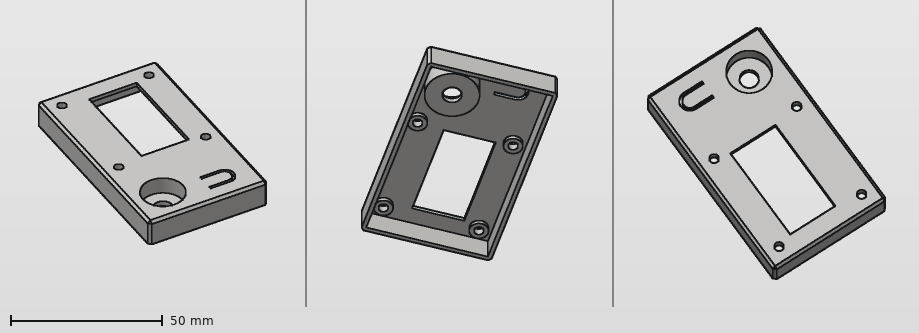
import cadquery as cq

length = 75.0
width = 45.0
height = 9.5
wall = 1.5
edge_chamfer = 1.0
inner_top = height - wall

window_length = 35.0
window_width = 18.0
window_center = (-12.5, 2.0)

screw_diameter = 3.2
screw_spacing_x = 38.0
screw_spacing_y = 33.0
screw_pattern_center = (-12.5, 0.0)
boss_diameter = 2 * screw_diameter
boss_height = wall

knob_center = (25.5, -10.5)
knob_diameter = 15.2
knob_depth = 6.2
shaft_diameter = 6.4
cup_floor = 2.0
cup_diameter = knob_diameter + 2 * wall

slot_width = 1.0
slot_outer_radius = 3.5
slot_inner_radius = slot_outer_radius - slot_width
slot_center = (28.0, 11.5)
slot_leg = 7.2


def cylinder(center, diameter, bottom, top):
    """Upright cylinder between two heights."""
    base = cq.Workplane("XY", origin=(center[0], center[1], bottom))
    return base.circle(diameter / 2).extrude(top - bottom)


def make_shell():
    """Chamfered block, hollowed from below."""
    block = cq.Workplane("XY").box(length, width, height, centered=(True, True, False))
    block = block.edges("|Z or >Z").chamfer(edge_chamfer)
    cavity = cq.Workplane("XY").rect(length - 2 * wall, width - 2 * wall).extrude(inner_top)
    return block.cut(cavity)


def screw_centers():
    """Corners of the screw rectangle."""
    x, y = screw_pattern_center
    return [
        (x + side_x * screw_spacing_x / 2, y + side_y * screw_spacing_y / 2)
        for side_x in (-1, 1)
        for side_y in (-1, 1)
    ]


def add_screw_bosses(body):
    for center in screw_centers():
        body = body.union(cylinder(center, boss_diameter, inner_top - boss_height, inner_top))
        body = body.cut(cylinder(center, screw_diameter, 0, height))
    return body


def add_knob_cup(body):
    floor_top = height - knob_depth
    body = body.union(cylinder(knob_center, cup_diameter, floor_top - cup_floor, inner_top))
    body = body.cut(cylinder(knob_center, knob_diameter, floor_top, height))
    return body.cut(cylinder(knob_center, shaft_diameter, 0, height))


def cut_window(body):
    x, y = window_center
    base = cq.Workplane("XY", origin=(x, y, inner_top))
    return body.cut(base.rect(window_length, window_width).extrude(wall))


def arch(radius):
    """Plate-thick tongue shape: two straight legs closed by a half circle."""
    return (
        cq.Workplane("XY", origin=(slot_center[0], slot_center[1], inner_top))
        .moveTo(-radius, -slot_leg)
        .lineTo(radius, -slot_leg)
        .lineTo(radius, 0)
        .threePointArc((0, radius), (-radius, 0))
        .close()
        .extrude(wall)
    )


def cut_button_slot(body):
    return body.cut(arch(slot_outer_radius).cut(arch(slot_inner_radius)))


result = make_shell()
result = add_screw_bosses(result)
result = add_knob_cup(result)
result = cut_window(result)
result = cut_button_slot(result)